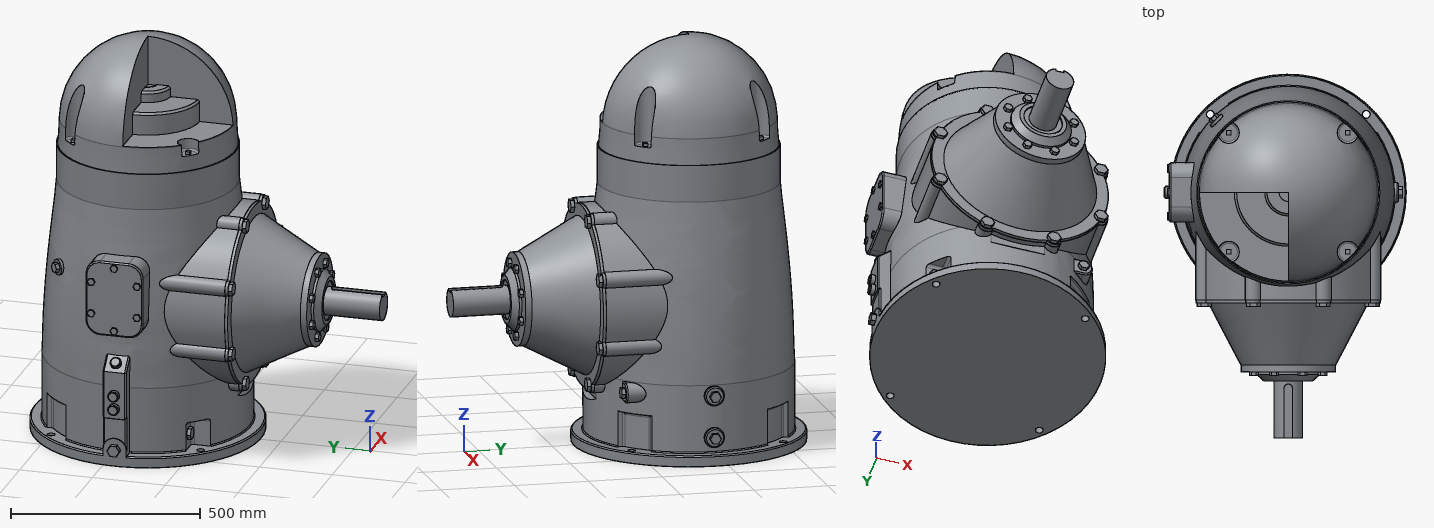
import cadquery as cq
import math

FLANGE_RADIUS = 311.15
FLANGE_THICKNESS = 29.5
FLANGE_CHAMFER = 3.5
FLANGE_HOLE_COUNT = 4
FLANGE_HOLE_RADIUS = 10.0
FLANGE_HOLE_CIRCLE_RADIUS = 290.5

BODY_RADIUS = 279.4
BODY_STRAIGHT_TOP = 212.5
BARREL_TOP = 544.0
FOOT_CHAMFER = 3.0
RING_RADIUS = 241.3
RING_BOTTOM = 701.0
RING_TOP = 800.0

OVERALL_HEIGHT = 1098.55
CAP_BOTTOM_RADIUS = 238.0
CAP_TOP_RADIUS = 234.0
CAP_TOP = 871.0
CUTAWAY_FLOOR = CAP_TOP + 2.5

PEDESTAL_RADIUS = 142.0
PEDESTAL_TOP = 935.0
HUB_RADIUS = 62.0
HUB_TOP = 965.0
PEDESTAL_CHAMFER = 6.0
CENTRE_RECESS_RADIUS = 24.0
CENTRE_RECESS_DEPTH = 2.0

CAP_BOLT_OFFSET = 157.0
CAP_POCKET_RADIUS = 28.0
CAP_POCKET_FLOOR = 841.0
CAP_POCKET_FLOOR_FILLET = 5.0
CAP_BOLT_SIZE = 12.0
CAP_BOLT_HEIGHT = 8.0

INPUT_HEIGHT = 407.0
HOUSING_RADIUS = 245.0
HOUSING_END = 283.0
COVER_END = 291.0
COVER_INSET = 1.5
BOLT_RING_COUNT = 8
HOUSING_BOLT_CIRCLE_RADIUS = 239.5
HOUSING_LUG_RADIUS = 22.0
HOUSING_BOLT_SIZE = 32.0
HOUSING_BOLT_HEIGHT = 10.0
CONE_LARGE_RADIUS = 211.0
CONE_SMALL_RADIUS = 124.7
CONE_END = 455.5
END_PLATE_END = 473.0
END_BOLT_CIRCLE_RADIUS = 98.0
END_BOLT_SIZE = 21.0
END_BOLT_HEIGHT = 10.0
SEAL_BASE_RADIUS = 83.0
SEAL_BASE_END = 480.0
SEAL_FACE_RADIUS = 64.5
SEAL_END = 497.0
SEAL_RECESS_RADIUS = 53.0
SEAL_RECESS_DEPTH = 4.0

SHAFT_RADIUS = 38.0
SHAFT_END = 647.43
KEYWAY_WIDTH = 22.0
KEYWAY_DEPTH = 9.0
KEYWAY_START = 505.0

INSPECTION_FACE = 313.5
INSPECTION_WIDTH = 157.0
INSPECTION_HEIGHT = 208.0
INSPECTION_CENTRE_HEIGHT = 470.0
INSPECTION_CORNER_RADIUS = 40.0
INSPECTION_CHAMFER = 4.0
INSPECTION_SCREW_SIZE = 18.0
INSPECTION_SCREW_HEIGHT = 4.5
INSPECTION_SCREWS = [(0, 88), (0, -88), (63, 44), (63, -44), (-63, 44), (-63, -44)]

RISER_WIDTH = 64.0
RISER_FACE = 313.0
RISER_LOWER_FACE = 308.5
RISER_STEP_HEIGHT = 134.0
RISER_SLOPE_BOTTOM = 265.0
RISER_TOP = 301.0
RISER_ARCH_HEIGHT = 46.0
RISER_PLUG_HEIGHTS = [200.0, 162.5]
RISER_CHAMFER = 4.0
RISER_PLUG_RADIUS = 14.5
RISER_PLUG_CHAMFER = 2.5
RISER_LOW_PLUG_SIZE = 29.0
RISER_PLUG_END = 326.98
RISER_LOW_PLUG_END = 324.0
RISER_SLOPE_PLUG_HEIGHT = 11.0

SIDE_PLUG_HEIGHTS = [184.0, 71.0]
BOSS_RADIUS = 26.5
BOSS_CHAMFER = 3.5
SIDE_BOSS_END = 290.0
SIDE_PLUG_SIZE = 26.0
SIDE_PLUG_END = 301.0

PAD_X = 195.0
PAD_HEIGHT = 184.0
PAD_FACE = 222.0
PAD_PLUG_HEIGHT = 10.0

VENT_HEIGHT = 497.0
VENT_ANGLE = 135.0
VENT_BOSS_RADIUS = 21.0
VENT_BOSS_END = 271.0
VENT_PLUG_SIZE = 24.0
VENT_PLUG_END = 282.0

RECESS_WALL = 157.0
RECESS_TOP = 126.0
RECESS_FLOOR_RADIUS = 266.0
RECESS_FILLET = 8.0
NOTCH_WALL = 170.0
NOTCH_TOP = 108.0
NOTCH_FILLET = 8.0
NOTCH_PLUG_OFFSET = 197.0
NOTCH_PLUG_HEIGHT = 71.0
NOTCH_PLUG_SIZE = 30.0
NOTCH_PLUG_LENGTH = 10.0

RELIEF_FLAT = 269.5
RELIEF_BOTTOM = 129.0
RELIEF_FLAT_BOTTOM = 142.0
RELIEF_TOP = 185.0


def cylinder_along_input(radius, start, end):
    """Cylinder on the input axis between two distances from the vertical axis."""
    plane = cq.Plane((0, -start, INPUT_HEIGHT), (1, 0, 0), (0, -1, 0))
    return cq.Workplane(plane).circle(radius).extrude(end - start)


def hex_head(origin, outward, across_flats, height):
    """Hexagon head standing on a seat at origin; it is rooted slightly below the seat."""
    root = 2.0
    plane = cq.Plane(origin, (-outward[1], outward[0], 0), outward)
    corner_diameter = across_flats / math.cos(math.pi / 6)
    return cq.Workplane(plane).workplane(offset=-root).polygon(6, corner_diameter).extrude(height + root)


def circle_points(count, radius):
    """Evenly spaced points, straddling the horizontal and vertical axes."""
    step = 2 * math.pi / count
    angles = [step * (i + 0.5) for i in range(count)]
    return [(radius * math.cos(a), radius * math.sin(a)) for a in angles]


def make_flange():
    flange = cq.Workplane("XY").circle(FLANGE_RADIUS).extrude(FLANGE_THICKNESS)
    return flange.faces(">Z").chamfer(FLANGE_CHAMFER)


def make_body():
    taper_slope = (BODY_RADIUS - RING_RADIUS) / (RING_BOTTOM - (BODY_STRAIGHT_TOP + BARREL_TOP) / 2)
    barrel_top_radius = RING_RADIUS + taper_slope * (RING_BOTTOM - BARREL_TOP)
    dome_top_rise = OVERALL_HEIGHT - CAP_TOP
    dome_radius = (dome_top_rise**2 + CAP_TOP_RADIUS**2) / (2 * dome_top_rise)
    dome_centre = OVERALL_HEIGHT - dome_radius
    dome_mid = dome_radius * math.sqrt(0.5)
    profile = (
        cq.Workplane("XZ")
        .lineTo(BODY_RADIUS + FOOT_CHAMFER, 0)
        .lineTo(BODY_RADIUS + FOOT_CHAMFER, FLANGE_THICKNESS)
        .lineTo(BODY_RADIUS, FLANGE_THICKNESS + FOOT_CHAMFER)
        .lineTo(BODY_RADIUS, BODY_STRAIGHT_TOP)
        .spline(
            [(barrel_top_radius, BARREL_TOP), (RING_RADIUS, RING_BOTTOM)],
            tangents=[(0, 1), (-taper_slope, 1)],
            includeCurrent=True,
        )
        .lineTo(RING_RADIUS, RING_TOP)
        .lineTo(CAP_BOTTOM_RADIUS, RING_TOP)
        .lineTo(CAP_TOP_RADIUS, CAP_TOP)
        .threePointArc((dome_mid, dome_centre + dome_mid), (0, OVERALL_HEIGHT))
        .close()
    )
    return profile.revolve(360, (0, 0, 0), (0, 1, 0))


def cut_dome_quarter(part):
    size = 2 * CAP_TOP_RADIUS
    quarter = cq.Workplane("XY", origin=(0, 0, CUTAWAY_FLOOR)).rect(-size, -size, centered=False)
    quarter = quarter.extrude(OVERALL_HEIGHT)
    pedestal = cq.Workplane("XY").circle(PEDESTAL_RADIUS).extrude(PEDESTAL_TOP)
    pedestal = pedestal.faces(">Z").chamfer(PEDESTAL_CHAMFER)
    hub = cq.Workplane("XY").circle(HUB_RADIUS).extrude(HUB_TOP).faces(">Z").chamfer(PEDESTAL_CHAMFER)
    recess = cq.Workplane("XY", origin=(0, 0, HUB_TOP - CENTRE_RECESS_DEPTH))
    recess = recess.circle(CENTRE_RECESS_RADIUS).extrude(CENTRE_RECESS_DEPTH)
    return part.cut(quarter.cut(pedestal).cut(hub.cut(recess)))


def cut_cap_bolt_pockets(part):
    centres = [(sx * CAP_BOLT_OFFSET, sy * CAP_BOLT_OFFSET) for sx in (-1, 1) for sy in (-1, 1)]
    for x, y in centres:
        seat = cq.Workplane("XY", origin=(x, y, CAP_POCKET_FLOOR))
        pocket = seat.circle(CAP_POCKET_RADIUS).extrude(OVERALL_HEIGHT - CAP_POCKET_FLOOR)
        pocket = pocket.faces("<Z").edges().fillet(CAP_POCKET_FLOOR_FILLET)
        bolt = seat.rect(CAP_BOLT_SIZE, CAP_BOLT_SIZE).extrude(CAP_BOLT_HEIGHT)
        part = part.cut(pocket.cut(bolt))
    return part


def lugged_disc(inset, start, end):
    """Round section with a lug at every housing bolt."""
    disc = cylinder_along_input(HOUSING_RADIUS - inset, start, end)
    plane = cq.Plane((0, -start, INPUT_HEIGHT), (1, 0, 0), (0, -1, 0))
    lugs = (
        cq.Workplane(plane)
        .pushPoints(circle_points(BOLT_RING_COUNT, HOUSING_BOLT_CIRCLE_RADIUS))
        .circle(HOUSING_LUG_RADIUS - inset)
        .extrude(end - start)
    )
    return disc.union(lugs)


def bolt_ring(circle_radius, seat, across_flats, height):
    heads = cq.Workplane("XY")
    for x, z in circle_points(BOLT_RING_COUNT, circle_radius):
        heads = heads.union(hex_head((x, -seat, INPUT_HEIGHT + z), (0, -1, 0), across_flats, height))
    return heads


def make_input_housing():
    outline = [
        (0, 0),
        (CONE_LARGE_RADIUS, 0),
        (CONE_LARGE_RADIUS, COVER_END),
        (CONE_SMALL_RADIUS, CONE_END),
        (CONE_SMALL_RADIUS, END_PLATE_END),
        (SEAL_BASE_RADIUS, END_PLATE_END),
        (SEAL_BASE_RADIUS, SEAL_BASE_END),
        (SEAL_FACE_RADIUS, SEAL_END),
        (SEAL_RECESS_RADIUS, SEAL_END),
        (SEAL_RECESS_RADIUS, SEAL_END - SEAL_RECESS_DEPTH),
        (0, SEAL_END - SEAL_RECESS_DEPTH),
    ]
    axis_plane = cq.Plane((0, 0, INPUT_HEIGHT), (1, 0, 0), (0, 0, 1))
    turned = cq.Workplane(axis_plane).polyline([(r, -s) for r, s in outline]).close()
    turned = turned.revolve(360, (0, 0, 0), (0, 1, 0))
    housing = lugged_disc(0, 0, HOUSING_END).union(lugged_disc(COVER_INSET, HOUSING_END, COVER_END))
    housing = housing.union(turned)
    housing = housing.union(
        bolt_ring(HOUSING_BOLT_CIRCLE_RADIUS, COVER_END, HOUSING_BOLT_SIZE, HOUSING_BOLT_HEIGHT)
    )
    return housing.union(bolt_ring(END_BOLT_CIRCLE_RADIUS, END_PLATE_END, END_BOLT_SIZE, END_BOLT_HEIGHT))


def make_shaft():
    shaft = cylinder_along_input(SHAFT_RADIUS, 0, SHAFT_END)
    end_radius = KEYWAY_WIDTH / 2
    round_centre = KEYWAY_START + end_radius
    floor = INPUT_HEIGHT + SHAFT_RADIUS - KEYWAY_DEPTH
    keyway = (
        cq.Workplane("XY", origin=(0, 0, floor))
        .moveTo(end_radius, -SHAFT_END)
        .lineTo(end_radius, -round_centre)
        .threePointArc((0, -KEYWAY_START), (-end_radius, -round_centre))
        .lineTo(-end_radius, -SHAFT_END)
        .close()
        .extrude(SHAFT_RADIUS)
    )
    return shaft.cut(keyway)


def make_inspection_cover():
    block = (
        cq.Workplane("YZ", origin=(0, 0, INSPECTION_CENTRE_HEIGHT))
        .rect(INSPECTION_WIDTH, INSPECTION_HEIGHT)
        .extrude(-INSPECTION_FACE)
        .edges("|X")
        .fillet(INSPECTION_CORNER_RADIUS)
        .faces("<X")
        .chamfer(INSPECTION_CHAMFER)
    )
    for y, dz in INSPECTION_SCREWS:
        seat = (-INSPECTION_FACE, y, INSPECTION_CENTRE_HEIGHT + dz)
        block = block.union(hex_head(seat, (-1, 0, 0), INSPECTION_SCREW_SIZE, INSPECTION_SCREW_HEIGHT))
    return block


def round_plug(origin, outward, height):
    """Round chamfered plug standing on a riser face."""
    plug = cq.Workplane(cq.Plane(origin, (0, 1, 0), outward)).circle(RISER_PLUG_RADIUS).extrude(height)
    return plug.faces(cq.selectors.DirectionMinMaxSelector(cq.Vector(outward))).chamfer(RISER_PLUG_CHAMFER)


def make_riser():
    root = RING_RADIUS
    slope_end = RISER_FACE - (RISER_TOP - RISER_SLOPE_BOTTOM)
    riser = (
        cq.Workplane("XZ")
        .moveTo(-root, 0)
        .lineTo(-RISER_LOWER_FACE, 0)
        .lineTo(-RISER_LOWER_FACE, RISER_STEP_HEIGHT)
        .lineTo(-RISER_FACE, RISER_STEP_HEIGHT)
        .lineTo(-RISER_FACE, RISER_SLOPE_BOTTOM)
        .lineTo(-slope_end, RISER_TOP)
        .lineTo(-root, RISER_TOP)
        .close()
        .extrude(RISER_WIDTH / 2, both=True)
        .faces("<Y or >Y")
        .chamfer(RISER_CHAMFER)
    )
    half_width = RISER_WIDTH / 2
    arch = (
        cq.Workplane("YZ")
        .moveTo(-half_width, 0)
        .lineTo(-half_width, RISER_ARCH_HEIGHT)
        .threePointArc((0, RISER_ARCH_HEIGHT + half_width), (half_width, RISER_ARCH_HEIGHT))
        .lineTo(half_width, 0)
        .close()
        .extrude(-2 * FLANGE_RADIUS)
    )
    rim = cq.Workplane("XY").circle(FLANGE_RADIUS).extrude(RISER_TOP)
    riser = riser.union(arch.intersect(rim))
    for height in RISER_PLUG_HEIGHTS:
        seat = (-RISER_FACE, 0, height)
        riser = riser.union(round_plug(seat, (-1, 0, 0), RISER_PLUG_END - RISER_FACE))
    low_seat = (-RISER_LOWER_FACE, 0, RISER_ARCH_HEIGHT)
    low_height = RISER_LOW_PLUG_END - RISER_LOWER_FACE
    riser = riser.union(hex_head(low_seat, (-1, 0, 0), RISER_LOW_PLUG_SIZE, low_height))
    slope_seat = (-(RISER_FACE + slope_end) / 2, 0, (RISER_SLOPE_BOTTOM + RISER_TOP) / 2)
    return riser.union(round_plug(slope_seat, (-1, 0, 1), RISER_SLOPE_PLUG_HEIGHT))


def make_side_plugs():
    plugs = cq.Workplane("XY")
    for height in SIDE_PLUG_HEIGHTS:
        boss = cq.Workplane("YZ", origin=(0, 0, height)).circle(BOSS_RADIUS).extrude(SIDE_BOSS_END)
        boss = boss.faces(">X").chamfer(BOSS_CHAMFER)
        head = hex_head((SIDE_BOSS_END, 0, height), (1, 0, 0), SIDE_PLUG_SIZE, SIDE_PLUG_END - SIDE_BOSS_END)
        plugs = plugs.union(boss).union(head)
    return plugs


def make_plug_pad():
    inner_edge = PAD_X - 2 * BOSS_RADIUS
    pad = (
        cq.Workplane("XZ")
        .moveTo(inner_edge, PAD_HEIGHT - BOSS_RADIUS)
        .lineTo(PAD_X, PAD_HEIGHT - BOSS_RADIUS)
        .threePointArc((PAD_X + BOSS_RADIUS, PAD_HEIGHT), (PAD_X, PAD_HEIGHT + BOSS_RADIUS))
        .lineTo(inner_edge, PAD_HEIGHT + BOSS_RADIUS)
        .close()
        .extrude(PAD_FACE)
        .faces("<Y")
        .chamfer(BOSS_CHAMFER)
    )
    return pad.union(hex_head((PAD_X, -PAD_FACE, PAD_HEIGHT), (0, -1, 0), SIDE_PLUG_SIZE, PAD_PLUG_HEIGHT))


def make_vent_plug():
    boss = cq.Workplane("YZ", origin=(0, 0, VENT_HEIGHT)).circle(VENT_BOSS_RADIUS).extrude(VENT_BOSS_END)
    head = hex_head((VENT_BOSS_END, 0, VENT_HEIGHT), (1, 0, 0), VENT_PLUG_SIZE, VENT_PLUG_END - VENT_BOSS_END)
    return boss.union(head).rotate((0, 0, 0), (0, 0, 1), VENT_ANGLE)


def corner_box(wall, top):
    """Box in the +X +Y corner with its walls at x = wall and y = wall, standing on the flange."""
    box = cq.Workplane("XY", origin=(wall, wall, FLANGE_THICKNESS))
    return box.box(BODY_RADIUS, BODY_RADIUS, top - FLANGE_THICKNESS, centered=False)


def cut_bolt_recesses(part):
    core = cq.Workplane("XY").circle(RECESS_FLOOR_RADIUS).extrude(RECESS_TOP)
    recess = corner_box(RECESS_WALL, RECESS_TOP).cut(core)
    recess = recess.faces("%CYLINDER").edges("not <Z").fillet(RECESS_FILLET)
    for angle in (0, 90, 270):
        part = part.cut(recess.rotate((0, 0, 0), (0, 0, 1), angle))
    return part


def cut_plug_notch(part):
    notch = corner_box(NOTCH_WALL, NOTCH_TOP)
    notch = notch.edges("(|Z and <X and <Y) or (>Z and <X) or (>Z and <Y)").fillet(NOTCH_FILLET)
    part = part.cut(notch.rotate((0, 0, 0), (0, 0, 1), 180))
    seat = (-NOTCH_PLUG_OFFSET, -NOTCH_WALL, NOTCH_PLUG_HEIGHT)
    return part.union(hex_head(seat, (0, -1, 0), NOTCH_PLUG_SIZE, NOTCH_PLUG_LENGTH))


def cut_relief(part):
    cutter = (
        cq.Workplane("YZ")
        .moveTo(-BODY_RADIUS, RELIEF_BOTTOM)
        .lineTo(-RELIEF_FLAT, RELIEF_FLAT_BOTTOM)
        .lineTo(-RELIEF_FLAT, RELIEF_TOP)
        .lineTo(-BODY_RADIUS, RELIEF_TOP)
        .close()
        .extrude(HOUSING_RADIUS, both=True)
    )
    return part.cut(cutter)


def drill_flange(part):
    holes = (
        cq.Workplane("XY")
        .pushPoints(circle_points(FLANGE_HOLE_COUNT, FLANGE_HOLE_CIRCLE_RADIUS))
        .circle(FLANGE_HOLE_RADIUS)
        .extrude(FLANGE_THICKNESS)
    )
    return part.cut(holes)


body = cut_relief(make_body())
body = cut_cap_bolt_pockets(cut_dome_quarter(body))
body = cut_plug_notch(cut_bolt_recesses(body))
body = drill_flange(body.union(make_flange()))
body = body.union(make_input_housing()).union(make_shaft())
body = body.union(make_inspection_cover()).union(make_riser())
result = body.union(make_side_plugs()).union(make_plug_pad()).union(make_vent_plug())